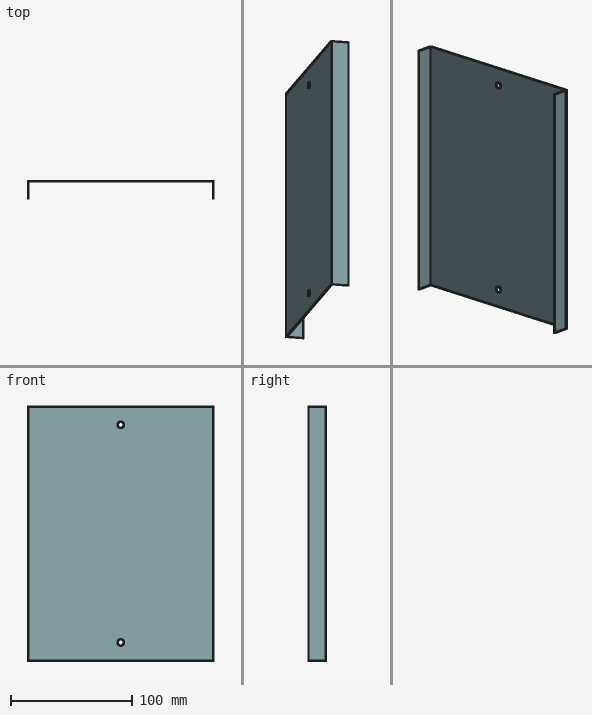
import cadquery as cq

width = 153.5
depth = 14.7
height = 210.0
sheet_thickness = 0.74

hole_diameter = 5.0
hole_edge_distance = 15.1
hole_spacing = height - 2 * hole_edge_distance


def make_channel():
    """U-shaped channel along Z: web at the +Y side, flanges pointing to -Y."""
    outer = cq.Workplane("XY").box(width, depth, height)
    inner = (
        cq.Workplane("XY")
        .box(width - 2 * sheet_thickness, depth, height)
        .translate((0, -sheet_thickness, 0))
    )
    return outer.cut(inner)


def make_mounting_holes():
    """Cylinders along Y, one near each end of the web."""
    return (
        cq.Workplane("XZ")
        .rarray(2, hole_spacing, 1, 2)
        .circle(hole_diameter / 2)
        .extrude(depth, both=True)
    )


result = make_channel().cut(make_mounting_holes())